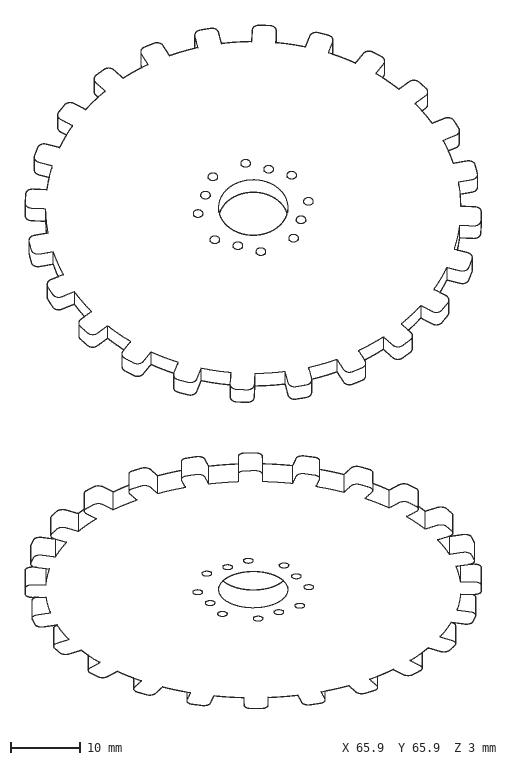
import cadquery as cq

tip_diameter = 65.9
thickness = 3.0
root_diameter = 60.0
bore_diameter = 10.0

tooth_count = 24
tooth_width = 3.5
tooth_corner_radius = 1.0

hole_diameter = 1.4
hole_pitch = 3.5
hole_row_offset = 7.25
row_count = 4
holes_per_row = 3


def make_tooth():
    """One straight-sided tooth on +X, reaching halfway to the axis so it merges with the disc."""
    tip_radius = tip_diameter / 2
    inner_radius = tip_radius / 2
    length = tip_radius - inner_radius
    return (
        cq.Workplane("XY")
        .center(inner_radius + length / 2, 0)
        .rect(length, tooth_width)
        .extrude(thickness)
        .edges("|Z and >X")
        .fillet(tooth_corner_radius)
    )


def make_toothed_disc():
    disc = cq.Workplane("XY").circle(root_diameter / 2).extrude(thickness)
    tooth = make_tooth()
    for index in range(tooth_count):
        angle = index * 360 / tooth_count
        disc = disc.union(tooth.rotate((0, 0, 0), (0, 0, 1), angle))
    return disc


def make_bore():
    return cq.Workplane("XY").circle(bore_diameter / 2).extrude(thickness)


def make_hole_row():
    """Cutter for the row of mounting holes on the +X side."""
    middle = (holes_per_row - 1) / 2
    centers = [(hole_row_offset, (i - middle) * hole_pitch) for i in range(holes_per_row)]
    return cq.Workplane("XY").pushPoints(centers).circle(hole_diameter / 2).extrude(thickness)


result = make_toothed_disc().cut(make_bore())
hole_row = make_hole_row()
for side in range(row_count):
    result = result.cut(hole_row.rotate((0, 0, 0), (0, 0, 1), side * 360 / row_count))